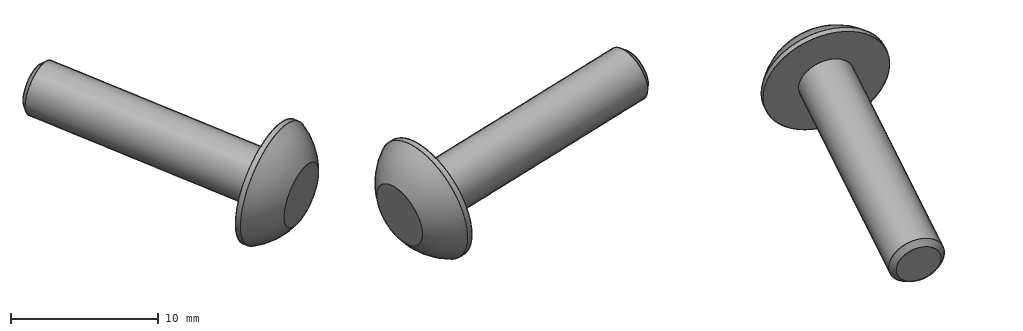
import cadquery as cq
import math

overall_length = 20.82
head_height = 2.57
head_radius = 9.17 / 2
rim_thickness = 0.4
crown_radius = 2.4
shank_radius = 4.04 / 2
tip_chamfer = 0.4

shank_length = overall_length - head_height
dome_start = shank_length + rim_thickness
dome_height = overall_length - dome_start

center_setback = (head_radius**2 - crown_radius**2 - dome_height**2) / (2 * dome_height)
dome_radius = math.hypot(center_setback, head_radius)


def dome_profile_radius(height):
    """Distance of the dome from the X axis at a height above the rim edge."""
    return math.sqrt(dome_radius**2 - (center_setback + height) ** 2)


def make_shank():
    """Cylindrical shank with a chamfered tip."""
    shank = cq.Workplane("YZ").circle(shank_radius).extrude(shank_length)
    return shank.faces("<X").chamfer(tip_chamfer)


def make_head():
    """Revolved head: a short cylindrical rim, a spherical dome and a flat crown."""
    mid_height = dome_height / 2
    dome_mid_point = (dome_start + mid_height, dome_profile_radius(mid_height))
    return (
        cq.Workplane("XY")
        .moveTo(shank_length, 0)
        .lineTo(shank_length, head_radius)
        .lineTo(dome_start, head_radius)
        .threePointArc(dome_mid_point, (overall_length, crown_radius))
        .lineTo(overall_length, 0)
        .close()
        .revolve(360, (0, 0, 0), (1, 0, 0))
    )


result = make_shank().union(make_head())